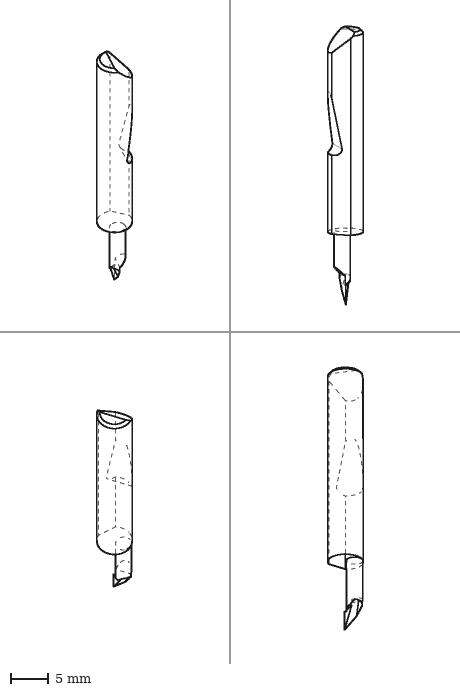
import cadquery as cq
import math

total_height = 37.88
shank_radius = 2.4
shoulder_z = 10.05
top_chamfer = 0.4
flat_angle = 143.0
flat_distance = 1.97
bevel_start_y = -0.6

notch_bottom_z = 20.9
notch_top_z = 29.55
notch_floor_y = 1.1
notch_radius = 0.95

neck_radius = 1.1
neck_x = shank_radius - neck_radius
rake_top_z = 3.9

tip_x = -0.15
nose_width = 0.08
tooth_top_z = 2.65
side_relief_x = 1.3
side_relief_y = 0.9
ledge_slope = 0.4
edge_slope = 1.07
end_relief_slope = 1.84
heel_x = 1.55
heel_slope = 1.83
heel_relief_slope = 1.3

margin = 7.58


def yz_cutter(profile):
    """Prism with the given (y, z) outline, through the part along X."""
    return profile.close().extrude(margin, both=True)


def make_shank():
    height = total_height - shoulder_z
    shank = cq.Workplane("XY").workplane(offset=shoulder_z).circle(shank_radius).extrude(height)
    shank = shank.faces(">Z").chamfer(top_chamfer)
    flat_cutter = (
        cq.Workplane("XY")
        .box(margin, 2 * margin, total_height, centered=(False, True, False))
        .translate((flat_distance, 0, 0))
        .rotate((0, 0, 0), (0, 0, 1), flat_angle)
    )
    bevel = yz_cutter(
        cq.Workplane("YZ")
        .moveTo(bevel_start_y, total_height)
        .lineTo(bevel_start_y + margin, total_height - margin)
        .lineTo(bevel_start_y + margin, total_height)
    )
    return shank.cut(flat_cutter).cut(bevel).cut(make_notch())


def make_notch():
    arc_center_y = notch_floor_y + notch_radius
    arc_center_z = notch_bottom_z + notch_radius
    arc_offset = notch_radius * math.sqrt(0.5)
    return yz_cutter(
        cq.Workplane("YZ")
        .moveTo(shank_radius, notch_top_z)
        .lineTo(notch_floor_y, arc_center_z)
        .threePointArc(
            (arc_center_y - arc_offset, arc_center_z - arc_offset),
            (arc_center_y, notch_bottom_z),
        )
        .lineTo(margin, notch_bottom_z)
        .lineTo(margin, notch_top_z)
    )


def end_cutter(start_x, start_z, slope, relief_slope):
    """Space below a plane rising along +X by slope and along -Y by relief_slope."""
    rise = margin * slope
    section = (
        cq.Workplane("XZ")
        .polyline([
            (start_x - margin, start_z - rise),
            (start_x + margin, start_z + rise),
            (start_x + margin, start_z - 2 * rise),
            (start_x - margin, start_z - 2 * rise),
        ])
        .close()
    )
    sweep = cq.Vector(0, -margin, margin * relief_slope)
    start_shift = sweep * -0.5
    face = cq.Face.makeFromWires(section.wires().val()).translate(start_shift)
    return cq.Workplane(cq.Solid.extrudeLinear(face, sweep))


def make_side_relief():
    far_x = tip_x + 2 * side_relief_x
    far_y = -2 * side_relief_y
    plan = (
        cq.Workplane("XY")
        .polyline([(tip_x, 0), (far_x, far_y), (-margin, far_y), (-margin, 0)])
        .close()
        .extrude(margin)
    )
    below_ledge = yz_cutter(
        cq.Workplane("YZ")
        .moveTo(0, 0)
        .lineTo(0, tooth_top_z)
        .lineTo(-margin, tooth_top_z + ledge_slope * margin)
        .lineTo(-margin, 0)
    )
    return plan.intersect(below_ledge)


def make_neck_and_tooth():
    overlap = 0.38
    neck = cq.Workplane("XY").center(neck_x, 0).circle(neck_radius).extrude(shoulder_z + overlap)
    relief_end_x = tip_x + side_relief_x
    tooth = (
        cq.Workplane("XY")
        .polyline([(tip_x, 0), (relief_end_x, -side_relief_y), (relief_end_x, 0)])
        .close()
        .extrude(tooth_top_z)
    )
    rake = yz_cutter(
        cq.Workplane("YZ")
        .moveTo(0, -margin)
        .lineTo(0, rake_top_z)
        .lineTo(neck_radius, rake_top_z + neck_radius)
        .lineTo(margin, rake_top_z + neck_radius)
        .lineTo(margin, -margin)
    )
    edge_start_x = tip_x + nose_width
    heel_z = edge_slope * (heel_x - edge_start_x)
    return (
        neck.cut(make_side_relief())
        .union(tooth)
        .cut(rake)
        .cut(end_cutter(edge_start_x, 0, edge_slope, end_relief_slope))
        .cut(end_cutter(heel_x, heel_z, heel_slope, heel_relief_slope))
    )


result = make_shank().union(make_neck_and_tooth())